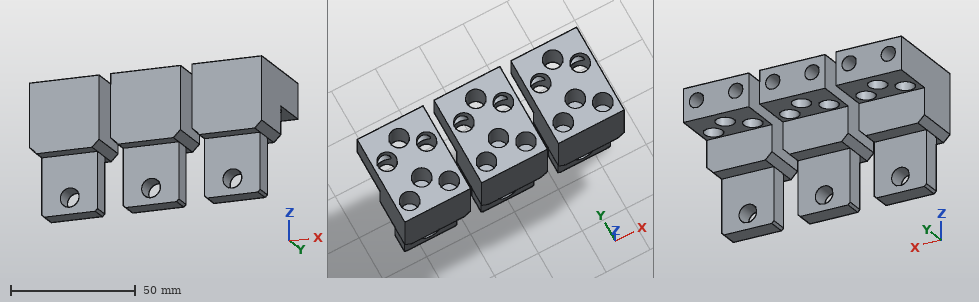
import cadquery as cq

TERMINAL_COUNT = 3
TERMINAL_PITCH = 35.0

HEAD_WIDTH = 30.0
HEAD_HEIGHT = 30.0
HEAD_LENGTH = 40.0
FLANGE_HEIGHT = 15.0
BODY_LENGTH = 21.0
HEAD_CHAMFER = 3.0

TAB_WIDTH = 24.0
TAB_HEIGHT = 25.0
TAB_THICKNESS = 8.0
TAB_FRONT = 6.0
TAB_CHAMFER = 1.0
TAB_HOLE_DIAMETER = 8.0
TAB_HOLE_HEIGHT = 7.0

WIRE_HOLE_DIAMETER = 8.2
WIRE_HOLE_SPREAD = 9.0
FRONT_ROW_Y = 7.0
ROW_STAGGER = 6.5
BACK_ROW_Y = 26.0
BLIND_HOLE_DEPTH = 15.0

CROSS_HOLE_DIAMETER = 6.5
CROSS_HOLE_DEPTH_BELOW_TOP = 6.5

TOP_Z = TAB_HEIGHT + HEAD_HEIGHT


def make_head():
    """L-shaped block, with its lower side edges chamfered."""
    flange_bottom = TOP_Z - FLANGE_HEIGHT
    head = (
        cq.Workplane("YZ")
        .moveTo(0, TAB_HEIGHT)
        .lineTo(BODY_LENGTH, TAB_HEIGHT)
        .lineTo(BODY_LENGTH, flange_bottom)
        .lineTo(HEAD_LENGTH, flange_bottom)
        .lineTo(HEAD_LENGTH, TOP_Z)
        .lineTo(0, TOP_Z)
        .close()
        .extrude(HEAD_WIDTH / 2, both=True)
    )
    return head.faces("<Z").edges("|Y").chamfer(HEAD_CHAMFER)


def make_tab():
    """Blade with chamfered lower corners and a bolt hole through its thickness."""
    tab = (
        cq.Workplane("XY")
        .box(TAB_WIDTH, TAB_THICKNESS, TAB_HEIGHT, centered=(True, False, False))
        .translate((0, TAB_FRONT, 0))
    )
    tab = tab.faces("<Z").edges("|Y").chamfer(TAB_CHAMFER)
    bolt_hole = (
        cq.Workplane("XZ", origin=(0, TAB_FRONT, TAB_HOLE_HEIGHT))
        .circle(TAB_HOLE_DIAMETER / 2)
        .extrude(-TAB_THICKNESS)
    )
    return tab.cut(bolt_hole)


def make_wire_holes(row_y, depth):
    """Cutter for a triangle of vertical holes: two at row_y and one behind them."""
    centres = [
        (-WIRE_HOLE_SPREAD, row_y),
        (WIRE_HOLE_SPREAD, row_y),
        (0, row_y + ROW_STAGGER),
    ]
    return (
        cq.Workplane("XY", origin=(0, 0, TOP_Z))
        .pushPoints(centres)
        .circle(WIRE_HOLE_DIAMETER / 2)
        .extrude(-depth)
    )


def make_cross_holes():
    """Cutter for two holes along Y, from the back face to the axes of the back row."""
    return (
        cq.Workplane("XZ", origin=(0, HEAD_LENGTH, TOP_Z - CROSS_HOLE_DEPTH_BELOW_TOP))
        .pushPoints([(-WIRE_HOLE_SPREAD, 0), (WIRE_HOLE_SPREAD, 0)])
        .circle(CROSS_HOLE_DIAMETER / 2)
        .extrude(HEAD_LENGTH - BACK_ROW_Y)
    )


def make_terminal(centre_x):
    """One terminal: head and tab in one piece, centred on centre_x."""
    terminal = make_head().union(make_tab())
    terminal = terminal.cut(make_wire_holes(FRONT_ROW_Y, BLIND_HOLE_DEPTH))
    terminal = terminal.cut(make_wire_holes(BACK_ROW_Y, FLANGE_HEIGHT))
    terminal = terminal.cut(make_cross_holes())
    return terminal.translate((centre_x, 0, 0))


terminals = []
for index in range(TERMINAL_COUNT):
    terminal = make_terminal(index * TERMINAL_PITCH)
    terminals.append(terminal.val())

result = cq.Compound.makeCompound(terminals)